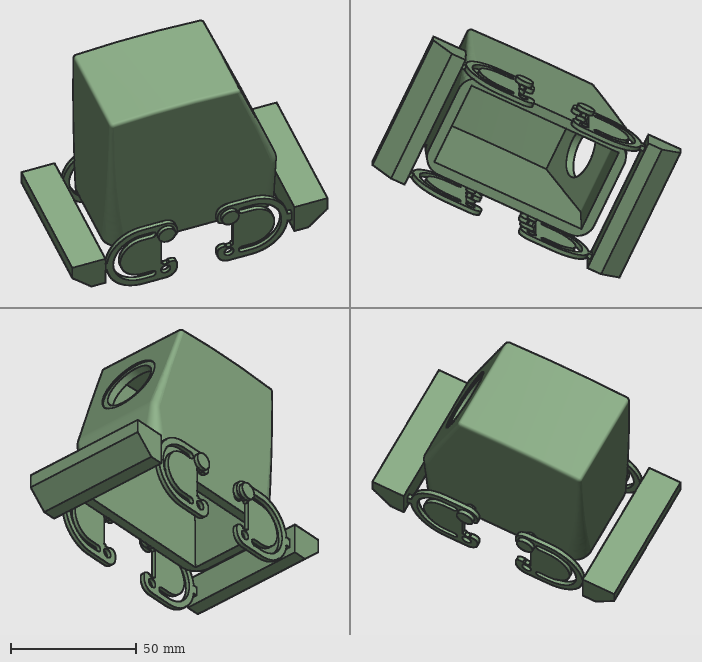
import cadquery as cq
import math

hood_width = 43.0
rim_half_length = 36.5
draft_angle = 0.8
crown_height = 71.8
crown_y = -6.3
crown_radius = 370.6
bend_height = 26.2
bend_radius = 8.7
slope_angle = 20.0
wall = 4.0
crown_fillet = 1.4

rim_corner_radius = 7.5
bend_corner_radius = 3.0
crown_corner_radius = 1.5
corner_steps = 2
corner_overcut = 1.1

entry_y = 27.8
entry_diameter = 22.1
entry_recess_diameter = 26.7
entry_recess_depth = 0.7

plate_thickness = 1.9
plate_outer_x = 25.6
plate_radius = 15.4
plate_center_y = 23.3
plate_center_z = -4.5
plate_end_y = 8.6
lobe_radius = 4.9
web_y = 15.4
mouth_half_height = 6.9
nose_radius = 2.2
groove_depth = 0.7
groove_end_y = 12.3
groove_corner_radius = 0.9
slot_outer_radius = 12.5
slot_inner_radius = 9.6
slot_end_y = 17.8
neck_height = 3.9

pin_y = plate_end_y + lobe_radius
pin_offset_z = plate_radius - lobe_radius
pin_diameter = 3.9
pin_head_diameter = 7.2
pin_head_x = 27.4

handle_width = 57.0
handle_outer_y = 54.5
handle_inner_y = 40.3
handle_top_z = 3.5
handle_bottom_z = -10.2
handle_bevel_y = 46.3
handle_bevel_z = -2.5

draft = math.radians(draft_angle)
slope = math.radians(slope_angle)
bend_y = rim_half_length - bend_height * math.tan(draft)
bend_tangent = bend_radius * math.tan((slope - draft) / 2)
slope_length = (crown_height - bend_height) / math.cos(slope)


def end_wall_y(z):
    """Distance of the drafted end walls from the XZ plane at height z."""
    return rim_half_length - z * math.tan(draft)


def from_bend(distance, lean):
    """Point at a distance from the sharp bend, up a line leaning inward from the vertical."""
    return bend_y - distance * math.sin(lean), bend_height + distance * math.cos(lean)


def hood_prism(bottom, inset, width):
    """Side outline from a bottom height up to the crown, inset all round and extruded along X."""
    outline = (
        cq.Workplane("YZ")
        .polyline(
            [
                (-end_wall_y(bottom), bottom),
                (end_wall_y(bottom), bottom),
                (bend_y, bend_height),
                from_bend(slope_length, slope),
                (-end_wall_y(crown_height), crown_height),
            ]
        )
        .close()
    )
    if inset:
        outline = outline.offset2D(-inset, "intersection")
    prism = outline.extrude(width / 2, both=True)
    bend_edge = cq.selectors.NearestToPointSelector((0, bend_y, bend_height))
    prism = prism.edges("|X").edges(bend_edge).fillet(bend_radius - inset)
    crown = (
        cq.Workplane("YZ")
        .center(crown_y, crown_height - crown_radius)
        .circle(crown_radius - inset)
        .extrude(width / 2, both=True)
    )
    return prism.intersect(crown)


def corner_section(y, z, lean, radius):
    """Waste outside a rounded +X+Y corner, square to an edge that leans inward by an angle."""
    plane = cq.Plane(
        origin=(hood_width / 2, y, z),
        xDir=(1, 0, 0),
        normal=(0, -math.sin(lean), math.cos(lean)),
    )
    on_arc = -radius * (1 - math.sqrt(0.5))
    return (
        cq.Workplane(plane)
        .moveTo(0, -radius)
        .lineTo(corner_overcut, -radius)
        .lineTo(corner_overcut, corner_overcut)
        .lineTo(-radius, corner_overcut)
        .lineTo(-radius, 0)
        .threePointArc((on_arc, on_arc), (0, -radius))
        .close()
    )


def loft_corner(sections):
    """Solid through corner sections, straight between two and smooth through more."""
    wires = [section.wires().val() for section in sections]
    return cq.Workplane(cq.Solid.makeLoft(wires, len(wires) == 2))


def growing_corner(top, bottom, lean, bottom_radius):
    """Waste along a corner whose radius grows as the square of the distance below the crown."""
    sections = []
    for step in range(corner_steps + 1):
        share = step / corner_steps
        y = top[0] + (bottom[0] - top[0]) * share
        z = top[1] + (bottom[1] - top[1]) * share
        radius = crown_corner_radius + (bottom_radius - crown_corner_radius) * share**2
        sections.append(corner_section(y, z, lean, radius))
    return loft_corner(sections)


def sloped_end_corner():
    """Waste along a corner of the +Y end: rim to bend, round the bend, bend to crown."""
    bend_start = from_bend(-bend_tangent, draft)
    bend_end = from_bend(bend_tangent, slope)
    slope_top = from_bend(slope_length, slope)
    rim = corner_section(rim_half_length, 0, draft, rim_corner_radius)
    below_bend = corner_section(*bend_start, draft, bend_corner_radius)
    around_bend = below_bend.revolve(
        slope_angle - draft_angle, (0, -bend_radius, 0), (1, -bend_radius, 0)
    )
    along_slope = growing_corner(slope_top, bend_end, slope, bend_corner_radius)
    return [loft_corner([rim, below_bend]), around_bend, along_slope]


def straight_end_corner():
    """Waste along a corner of the -Y end."""
    top = (end_wall_y(crown_height), crown_height)
    return [growing_corner(top, (rim_half_length, 0), draft, rim_corner_radius).mirror("XZ")]


def entry_hole():
    """Stepped cutter from the sloped face into the cavity."""
    entry_z = bend_height + (bend_y - entry_y) / math.tan(slope)
    face = cq.Plane(
        origin=(0, entry_y, entry_z),
        xDir=(1, 0, 0),
        normal=(0, math.cos(slope), math.sin(slope)),
    )
    recess = cq.Workplane(face).circle(entry_recess_diameter / 2).extrude(-entry_recess_depth)
    bore = cq.Workplane(face).circle(entry_diameter / 2).extrude(-2 * wall)
    return recess.union(bore)


def make_hood():
    hood = hood_prism(0, 0, hood_width)
    for corner in sloped_end_corner() + straight_end_corner():
        hood = hood.cut(corner).cut(corner.mirror("YZ"))
    hood = hood.faces(">Z").edges().fillet(crown_fillet)
    cavity = hood_prism(-wall, wall, hood_width - 2 * wall)
    return hood.cut(cavity).cut(entry_hole())


def latch_plane(x):
    """Plane square to X with its origin at the centre of the plates' round end."""
    return cq.Workplane("YZ", origin=(x, plate_center_y, plate_center_z))


def spring_slot(plane):
    """C-shaped slot concentric with the round end of the plate."""
    middle = (slot_outer_radius + slot_inner_radius) / 2
    half = (slot_outer_radius - slot_inner_radius) / 2
    end = slot_end_y + half - plate_center_y
    return (
        plane.moveTo(end, slot_outer_radius)
        .lineTo(0, slot_outer_radius)
        .threePointArc((slot_outer_radius, 0), (0, -slot_outer_radius))
        .lineTo(end, -slot_outer_radius)
        .threePointArc((end - half, -middle), (end, -slot_inner_radius))
        .lineTo(0, -slot_inner_radius)
        .threePointArc((slot_inner_radius, 0), (0, slot_inner_radius))
        .lineTo(end, slot_inner_radius)
        .threePointArc((end - half, middle), (end, slot_outer_radius))
        .close()
        .extrude(plate_thickness)
    )


def make_plate():
    """Plate on the +X side of the +Y latch."""
    plane = latch_plane(plate_outer_x - plate_thickness)
    end = plate_end_y - plate_center_y
    web = web_y - plate_center_y
    groove_end = groove_end_y - plate_center_y
    groove_floor = mouth_half_height + groove_depth
    step_radius = groove_depth / 2
    half_outline = (
        plane.moveTo(web, 0)
        .lineTo(web, groove_floor - groove_corner_radius)
        .radiusArc((web - groove_corner_radius, groove_floor), groove_corner_radius)
        .lineTo(groove_end + step_radius, groove_floor)
        .radiusArc((groove_end, groove_floor - step_radius), step_radius)
        .radiusArc((groove_end - step_radius, mouth_half_height), -step_radius)
        .lineTo(end + nose_radius, mouth_half_height)
        .radiusArc((end, mouth_half_height + nose_radius), nose_radius)
        .lineTo(end, pin_offset_z)
        .radiusArc((end + lobe_radius, plate_radius), lobe_radius)
        .lineTo(0, plate_radius)
        .radiusArc((plate_radius, 0), plate_radius)
    )
    plate = half_outline.mirrorX().extrude(plate_thickness)
    open_hole = (
        plane.center(pin_y - plate_center_y, -pin_offset_z)
        .circle(pin_diameter / 2)
        .extrude(plate_thickness)
    )
    neck_start = (plate_radius + slot_outer_radius) / 2
    neck_length = handle_inner_y - plate_center_y - neck_start
    neck = (
        plane.center(neck_start + neck_length / 2, 0)
        .rect(neck_length, neck_height)
        .extrude(plate_thickness)
    )
    return plate.cut(spring_slot(plane)).cut(open_hole).union(neck)


def make_pin():
    """Headed pin carrying one plate, rooted in the middle of the hood wall."""
    root_x = (hood_width - wall) / 2
    shank = (
        latch_plane(root_x)
        .center(pin_y - plate_center_y, pin_offset_z)
        .circle(pin_diameter / 2)
        .extrude(pin_head_x - root_x)
    )
    head = (
        latch_plane(plate_outer_x)
        .center(pin_y - plate_center_y, pin_offset_z)
        .circle(pin_head_diameter / 2)
        .extrude(pin_head_x - plate_outer_x)
    )
    return shank.union(head)


def make_handle():
    """Bar across both plates with its lower outer edge bevelled."""
    return (
        cq.Workplane("YZ")
        .polyline(
            [
                (handle_inner_y, handle_top_z),
                (handle_outer_y, handle_top_z),
                (handle_outer_y, handle_bevel_z),
                (handle_bevel_y, handle_bottom_z),
                (handle_inner_y, handle_bottom_z),
            ]
        )
        .close()
        .extrude(handle_width / 2, both=True)
    )


def make_latch():
    """Latch on the +Y side."""
    side = make_plate().union(make_pin())
    return make_handle().union(side).union(side.mirror("YZ"))


latch = make_latch()
result = make_hood().union(latch).union(latch.mirror("XZ"))